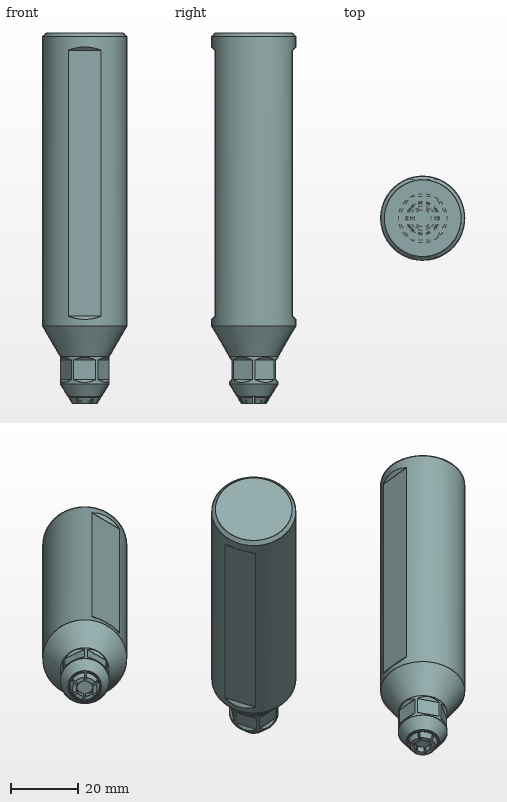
import cadquery as cq

total_height = 110.0

handle_radius = 25.0 / 2
handle_chamfer = 1.1
handle_base_z = 23.0

grip_count = 2
grip_depth = 1.0
grip_end_run = 1.0
grip_bottom_z = 25.0
grip_top_z = 105.8

collar_radius = 7.3
collar_bottom_z = 5.8
collar_top_z = 14.0
flat_count = 6
flat_depth = 0.8
flat_end_run = 0.9
flat_bottom_z = 6.3
flat_top_z = 13.8

tip_radius = 3.6
groove_radius = 4.4
groove_width = 0.3
jaw_height = 1.8
bore_diameter = 5.0
slot_count = 6
slot_width = 0.5

groove_top_z = jaw_height + groove_width


def nozzle_radius(z):
    """Radius of the nozzle cone at a height between the tip and the collar."""
    return tip_radius + (collar_radius - tip_radius) * z / collar_bottom_z


def revolved_body():
    """Nozzle, collar and handle as one turned shape."""
    profile = [
        (0, 0),
        (tip_radius, 0),
        (nozzle_radius(jaw_height), jaw_height),
        (groove_radius, jaw_height),
        (groove_radius, groove_top_z),
        (nozzle_radius(groove_top_z), groove_top_z),
        (collar_radius, collar_bottom_z),
        (collar_radius, collar_top_z),
        (handle_radius, handle_base_z),
        (handle_radius, total_height - handle_chamfer),
        (handle_radius - handle_chamfer, total_height),
        (0, total_height),
    ]
    return cq.Workplane("XZ").polyline(profile).close().revolve(360, (0, 0), (0, 1))


def flat_cutter(radius, depth, end_run, bottom_z, top_z):
    """Cutter for a flat facing -Y whose two ends slope out to the surface over end_run."""
    section = [
        (-radius, bottom_z),
        (-radius + depth, bottom_z + end_run),
        (-radius + depth, top_z - end_run),
        (-radius, top_z),
    ]
    return cq.Workplane("YZ").polyline(section).close().extrude(radius, both=True)


def jaw_slot():
    """Radial slot through one side of the jaw ring and its groove, toward +X."""
    return cq.Workplane("XY").box(collar_radius, slot_width, groove_top_z, centered=(False, True, False))


def cut_around(body, cutter, count):
    """Cut copies of a cutter spread evenly about the Z axis."""
    for index in range(count):
        body = body.cut(cutter.rotate((0, 0, 0), (0, 0, 1), index * 360 / count))
    return body


grip_cutter = flat_cutter(handle_radius, grip_depth, grip_end_run, grip_bottom_z, grip_top_z)
collar_cutter = flat_cutter(collar_radius, flat_depth, flat_end_run, flat_bottom_z, flat_top_z)
bore = cq.Workplane("XY").circle(bore_diameter / 2).extrude(groove_top_z)

result = revolved_body()
result = cut_around(result, grip_cutter, grip_count)
result = cut_around(result, collar_cutter, flat_count)
result = result.cut(bore)
result = cut_around(result, jaw_slot(), slot_count)